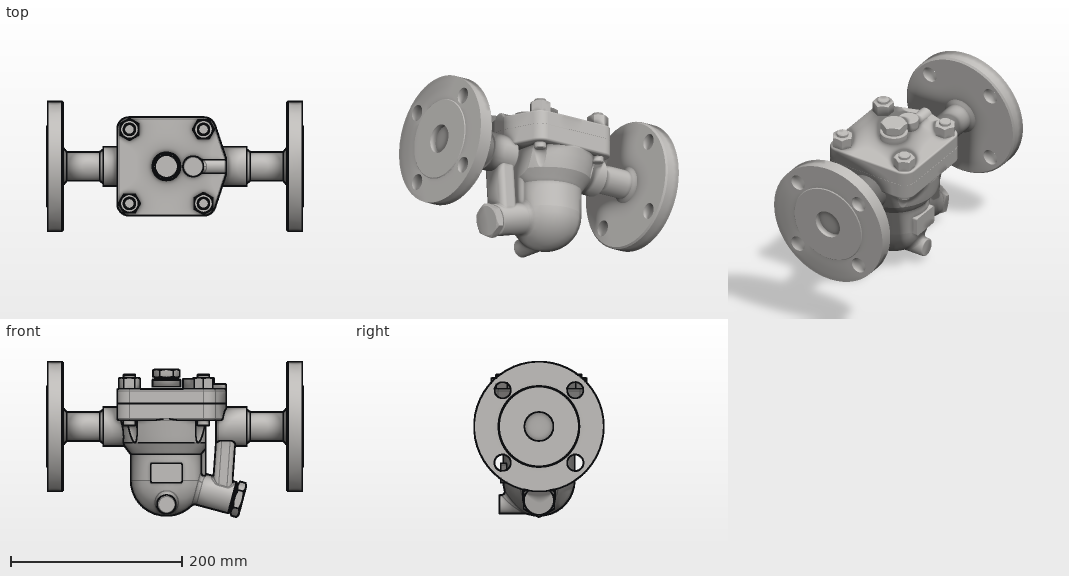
import cadquery as cq
import math


length = 300.0
pipe_middle_x = 10.0
flange_dia = 152.0
flange_thickness = 18.5
flange_edge_chamfer = 2.0
raised_face_dia = 95.0
raised_face_height = 1.0
raised_face_chamfer = 0.9
pipe_dia = 34.0
bore_depth = 8.3
weld_dia = 40.0
hub_dia = 43.0
weld_length = 4.0
sleeve_dia = 46.0
sleeve_reach = 84.0
flange_hole_dia = 19.0
flange_hole_circle = 120.0
flange_hole_count = 4

stud_spacing = 86.6
corner_radius = 14.5
nose_x = 70.0
nose_half_width = 9.0
block_bottom = 7.3
seam_z = 27.0
block_top = 44.0
top_edge_radius = 2.0
bottom_edge_radius = 2.5
seam_height = 0.7
seam_depth = 0.25

stud_dia = 14.0
stud_bottom = 0.7
stud_top = 61.1
stud_chamfer = 1.0
nut_across_flats = 22.0
nut_height = 13.2
nut_relief_radius = 9.0

bowl_radius = 42.0
dome_center_z = -62.6
cone_bottom_z = -32.3
cone_top_z = -18.8
cone_top_radius = stud_spacing / math.sqrt(2) - nut_relief_radius
barrel_mid_z = -6.0
barrel_mid_radius = 55.2
barrel_top_radius = 57.7

window_start_x = 46.2
window_end_x = 57.7
window_edge_radius = 2.5
rib_half_width = 11.0
rib_edge_radius = 5.0

branch_tilt = 15.0
branch_dia = 38.0
branch_end = 80.5
branch_end_chamfer = 1.0
branch_blend = 6.0
strainer_neck_dia = 33.0
strainer_hex_start = 82.0
strainer_hex_end = 92.1
strainer_across_flats = 36.0

strut_width = 22.8
strut_depth = 32.0
strut_corner = 6.5
strut_tilt = 4.0
strut_middle_x = 67.5
strut_middle_z = -42.0
strut_length = 62.0
strut_blend = 2.0

pad_width = 36.4
pad_bottom = -66.0
pad_top = -42.7
pad_front_y = -44.7
pad_corner = 2.0
drain_dia = 22.0
drain_z = -91.0
drain_front_y = -46.5
drain_edge = 1.5
drain_blend = 4.0

boss_x = 31.3
boss_dia = 24.0
boss_top = 56.0
boss_edge = 1.0
ridge_radius = 8.5
ridge_axis_z = 41.3
ridge_end_radius = 2.0
ridge_blend = 3.5

plug_bottom = 46.2
collar_dia = 33.0
collar_top = 55.3
collar_chamfer = 1.0
plug_neck_dia = 26.0
plug_hex_bottom = 57.0
plug_hex_top = 67.0
plug_across_flats = 27.3

edge_probe = 0.37
touch_tolerance = 1e-4

hex_corner_chamfer = 30.0
hex_rim_ratio = 0.97


def cylinder_x(diameter, x_start, x_end):
    return cq.Workplane("YZ", origin=(x_start, 0, 0)).circle(diameter / 2).extrude(x_end - x_start)


def cylinder_z(diameter, z_start, z_end, x=0.0, y=0.0):
    return cq.Workplane("XY", origin=(x, y, z_start)).circle(diameter / 2).extrude(z_end - z_start)


def chamfered_hex(across_flats, height, both_ends):
    """Upright hexagon on Z = 0 whose corners are cut by a cone at the top, or at both ends."""
    corner = across_flats / math.sqrt(3)
    rim = across_flats / 2 * hex_rim_ratio
    drop = (corner - rim) * math.tan(math.radians(hex_corner_chamfer))
    profile = cq.Workplane("XZ").moveTo(0, 0)
    if both_ends:
        profile = profile.lineTo(rim, 0).lineTo(corner, drop)
    else:
        profile = profile.lineTo(corner, 0)
    cone = profile.lineTo(corner, height - drop).lineTo(rim, height).lineTo(0, height).close().revolve()
    return cq.Workplane("XY").polygon(6, 2 * corner).extrude(height).intersect(cone)


def blended_union(base, added, radius):
    """Union of two solids with a fillet along the edges where their surfaces cross."""
    joined = base.union(added)
    crossing = []
    for edge in joined.edges().vals():
        probe = cq.Vertex.makeVertex(*edge.positionAt(edge_probe).toTuple())
        gaps = [solid.shells().val().distance(probe) for solid in (base, added)]
        if max(gaps) < touch_tolerance:
            crossing.append(edge)
    return joined.newObject(crossing).fillet(radius)


def pipe_end():
    """Flange and welded pipe on the +X side of the pipe middle."""
    face = length / 2
    flange_front = face - raised_face_height
    flange_back = flange_front - flange_thickness
    raised = cylinder_x(raised_face_dia, flange_back, face).faces(">X").chamfer(raised_face_chamfer)
    flange = cylinder_x(flange_dia, flange_back, flange_front).faces("<X").chamfer(flange_edge_chamfer)
    holes = (
        cq.Workplane("YZ", origin=(flange_back, 0, 0))
        .polarArray(flange_hole_circle / 2, 45, 360, flange_hole_count)
        .circle(flange_hole_dia / 2)
        .extrude(flange_thickness)
    )
    weld_radius = weld_dia / 2
    pipe_radius = pipe_dia / 2
    neck = (
        cq.Workplane("XY")
        .moveTo(sleeve_reach, 0)
        .lineTo(sleeve_reach, weld_radius)
        .lineTo(sleeve_reach + weld_length, pipe_radius)
        .lineTo(flange_back - weld_length, pipe_radius)
        .lineTo(flange_back, hub_dia / 2)
        .lineTo(flange_back, 0)
        .close()
        .revolve(360, (0, 0, 0), (1, 0, 0))
    )
    bore = cylinder_x(pipe_dia, face - bore_depth, face)
    return flange.union(raised).union(neck).cut(holes).cut(bore)


def block_outline(inset=0.0):
    """Square with round corners whose +X side runs out to a blunt nose."""
    center = stud_spacing / 2
    radius = corner_radius - inset
    edge = center + radius
    nose = nose_x - inset
    reach = math.hypot(nose - center, center - nose_half_width)
    direction = math.atan2(nose_half_width - center, nose - center)
    tangent_angle = direction + math.acos(radius / reach)
    middle_angle = (tangent_angle + math.pi / 2) / 2
    diagonal = radius / math.sqrt(2)

    def on_corner(angle, side):
        return (center + radius * math.cos(angle), side * (center + radius * math.sin(angle)))

    return (
        cq.Workplane("XY")
        .moveTo(nose, -nose_half_width)
        .lineTo(nose, nose_half_width)
        .lineTo(*on_corner(tangent_angle, 1))
        .threePointArc(on_corner(middle_angle, 1), (center, edge))
        .lineTo(-center, edge)
        .threePointArc((-center - diagonal, center + diagonal), (-edge, center))
        .lineTo(-edge, -center)
        .threePointArc((-center - diagonal, -center - diagonal), (-center, -edge))
        .lineTo(center, -edge)
        .threePointArc(on_corner(middle_angle, -1), on_corner(tangent_angle, -1))
        .close()
    )


def bolted_block():
    block = block_outline().extrude(block_top - block_bottom).translate((0, 0, block_bottom))
    block = block.faces(">Z").edges().fillet(top_edge_radius)
    block = block.faces("<Z").edges().fillet(bottom_edge_radius)
    seam_bottom = seam_z - seam_height / 2
    outside = block_outline().extrude(seam_height)
    core = block_outline(seam_depth).extrude(seam_height)
    return block.cut(outside.cut(core).translate((0, 0, seam_bottom)))


def bowl():
    """Domed bowl that flares out into a barrel under the block."""
    diagonal = bowl_radius / math.sqrt(2)
    return (
        cq.Workplane("XZ")
        .moveTo(0, dome_center_z - bowl_radius)
        .threePointArc((diagonal, dome_center_z - diagonal), (bowl_radius, dome_center_z))
        .lineTo(bowl_radius, cone_bottom_z)
        .lineTo(cone_top_radius, cone_top_z)
        .threePointArc((barrel_mid_radius, barrel_mid_z), (barrel_top_radius, block_bottom))
        .lineTo(barrel_top_radius, block_bottom + bottom_edge_radius)
        .lineTo(0, block_bottom + bottom_edge_radius)
        .close()
        .revolve()
    )


def along_branch(solid):
    """Turn a solid built up +Z so that it follows the branch axis."""
    turned = solid.rotate((0, 0, 0), (0, 1, 0), 90 + branch_tilt)
    return turned.translate((0, 0, dome_center_z))


def strut():
    column = (
        cq.Workplane("XY")
        .rect(strut_width, strut_depth)
        .extrude(strut_length)
        .translate((0, 0, -strut_length / 2))
        .edges("|Z")
        .fillet(strut_corner)
    )
    leaning = column.rotate((0, 0, 0), (0, 1, 0), strut_tilt)
    return leaning.translate((strut_middle_x, 0, strut_middle_z))


def vessel_body():
    """Bowl with its flat outlet side and the nut reliefs scooped out of the barrel."""
    cut_size = 4 * bowl_radius
    cut_corner = (window_start_x, 0, block_bottom - cut_size)
    beyond = cq.Workplane("XY").box(cut_size, cut_size, cut_size, centered=(False, True, False))
    vessel = bowl().cut(beyond.translate(cut_corner))
    center = stud_spacing / 2
    for x in (-center, center):
        for y in (-center, center):
            vessel = vessel.cut(cylinder_z(2 * nut_relief_radius, cone_top_z, block_bottom, x, y))
    return vessel


def outlet_rib():
    height = block_bottom - dome_center_z
    rib = cq.Workplane("XY").box(window_start_x, 2 * rib_half_width, height, centered=(False, True, False))
    return rib.edges("|Z and >X").fillet(rib_edge_radius).translate((0, 0, dome_center_z))


def drain_boss():
    boss = cq.Workplane("XZ", origin=(0, 0, drain_z)).circle(drain_dia / 2).extrude(-drain_front_y)
    return boss.faces("<Y").edges().fillet(drain_edge)


def nameplate_pad():
    height = pad_top - pad_bottom
    plane = cq.Workplane("XZ", origin=(0, 0, pad_bottom + height / 2))
    return plane.rect(pad_width, height).extrude(-pad_front_y).edges("|Y").fillet(pad_corner)


def strainer_branch():
    tube = cylinder_z(branch_dia, 0, branch_end)
    return along_branch(tube.faces(">Z").chamfer(branch_end_chamfer))


def strainer_cap():
    """Hexagon cap with the neck that joins it to the branch."""
    neck = cylinder_z(strainer_neck_dia, 0, strainer_hex_start)
    head = chamfered_hex(strainer_across_flats, strainer_hex_end - strainer_hex_start, True)
    return along_branch(neck.union(head.translate((0, 0, strainer_hex_start))))


def casting():
    """Vessel, branch, strut, sleeves and bolted block as one solid."""
    inlet = cylinder_x(sleeve_dia, pipe_middle_x - sleeve_reach, 0)
    outlet = cylinder_x(sleeve_dia, window_end_x, pipe_middle_x + sleeve_reach)
    outlet = outlet.faces("<X").edges().fillet(window_edge_radius)
    lower = blended_union(vessel_body(), drain_boss(), drain_blend)
    lower = blended_union(lower, strainer_branch(), branch_blend).union(outlet_rib())
    lower = blended_union(lower, strut(), strut_blend)
    lower = lower.union(nameplate_pad()).union(strainer_cap())
    return lower.union(inlet).union(outlet).union(bolted_block())


def cover_boss_and_ridge():
    boss = cylinder_z(boss_dia, seam_z, boss_top, boss_x).faces(">Z").edges().fillet(boss_edge)
    ridge = (
        cq.Workplane("YZ", origin=(boss_x, 0, ridge_axis_z))
        .circle(ridge_radius)
        .extrude(nose_x - boss_x)
        .faces(">X")
        .edges()
        .fillet(ridge_end_radius)
    )
    return blended_union(boss, ridge, ridge_blend)


def stud_with_nut():
    """Stud and nut in the +X +Y corner of the block."""
    stud = cylinder_z(stud_dia, stud_bottom, stud_top).faces("<Z or >Z").chamfer(stud_chamfer)
    nut = chamfered_hex(nut_across_flats, nut_height, False).translate((0, 0, block_top))
    return stud.union(nut).translate((stud_spacing / 2, stud_spacing / 2, 0))


def valve_body():
    body = casting().union(cover_boss_and_ridge())
    stud = stud_with_nut()
    for quarter in range(4):
        body = body.union(stud.rotate((0, 0, 0), (0, 0, 1), 90 * quarter))
    outlet_end = pipe_end()
    for end in (outlet_end, outlet_end.mirror("YZ")):
        body = body.union(end.translate((pipe_middle_x, 0, 0)))
    return body


def vent_plug():
    collar = cylinder_z(collar_dia, plug_bottom, collar_top).faces(">Z").chamfer(collar_chamfer)
    neck = cylinder_z(plug_neck_dia, plug_bottom, plug_hex_bottom)
    head = chamfered_hex(plug_across_flats, plug_hex_top - plug_hex_bottom, True)
    return collar.union(neck).union(head.translate((0, 0, plug_hex_bottom)))


body = valve_body()
plug = vent_plug()
result = cq.Compound.makeCompound([body.solids().val(), plug.solids().val()])